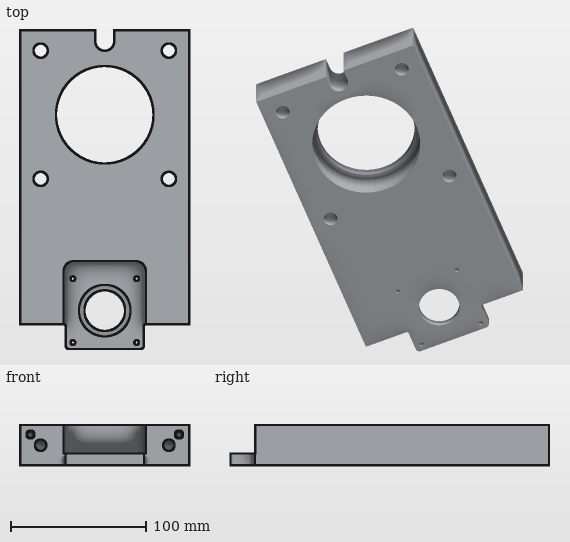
import cadquery as cq

block_width = 125.0
block_height = 30.0
total_length = 236.0
flange_reach = 18.5
block_length = total_length - flange_reach

flange_width = 58.0
flange_thickness = 9.0
flange_corner_radius = 2.8
pocket_width = 61.0
flange_root_radius = 1.2
pocket_length = 46.7
pocket_corner_radius = 7.5
flange_bore_y = 10.1
flange_bore_diameter = 30.0
seat_diameter = 38.2
seat_depth = 2.0
flange_hole_spacing = 47.2
flange_hole_diameter = 3.3

bore_y = block_length - block_width / 2
bore_diameter = 72.0
bore_lower_diameter = 80.0
bore_lip_height = 8.0
mounting_spacing = 94.9
mounting_diameter = 10.5

notch_width = 14.0
notch_depth = 15.0

dowel_diameter = 8.5
dowel_side_offset = 15.0
dowel_depth = 23.5
tapped_diameter = 5.0
tapped_mouth_diameter = 6.1
tapped_side_offset = 7.5
tapped_z = 23.0
tapped_depth = 14.2
drill_point_ratio = 0.3


def cylinder(x, y, diameter, bottom, top):
    """Vertical cylinder between two heights."""
    return cq.Workplane("XY", origin=(x, y, bottom)).circle(diameter / 2).extrude(top - bottom)


def square_of_holes(center_y, spacing, diameter):
    """Four vertical through cutters on the corners of a square."""
    return (
        cq.Workplane("XY", origin=(0, center_y, 0))
        .rect(spacing, spacing, forConstruction=True)
        .vertices()
        .circle(diameter / 2)
        .extrude(block_height)
    )


def front_drill(x, z, diameter, depth, mouth_diameter):
    """Blind drilling with a conical end and a 45 degree chamfered mouth."""
    radius = diameter / 2
    mouth_radius = mouth_diameter / 2
    profile = [
        (0, 0),
        (mouth_radius, 0),
        (radius, mouth_radius - radius),
        (radius, depth),
        (0, depth + diameter * drill_point_ratio),
    ]
    if mouth_diameter == diameter:
        profile.pop(1)
    return (
        cq.Workplane("XY")
        .polyline(profile)
        .close()
        .revolve(360, (0, 0, 0), (0, 1, 0))
        .translate((x, 0, z))
    )


def flange_root(side):
    """Concave round joining one flange side to the front face of the block."""
    flange_x = side * flange_width / 2
    center_x = flange_x + side * flange_root_radius
    web = cq.Workplane("XY").box(
        flange_root_radius, flange_root_radius, flange_thickness, centered=(True, False, False)
    )
    web = web.translate(((flange_x + center_x) / 2, -flange_root_radius, 0))
    return web.cut(cylinder(center_x, -flange_root_radius, 2 * flange_root_radius, 0, flange_thickness))


def block_with_flange():
    """Block with the pocket cut down to a flange that projects from its front."""
    block = cq.Workplane("XY").box(block_width, block_length, block_height, centered=(True, False, False))
    pocket = (
        cq.Workplane("XY", origin=(0, 0, flange_thickness))
        .box(pocket_width, pocket_length, block_height, centered=(True, False, False))
        .edges("|Z and >Y")
        .fillet(pocket_corner_radius)
    )
    flange = (
        cq.Workplane("XY", origin=(0, -flange_reach, 0))
        .box(flange_width, flange_reach + pocket_length, flange_thickness, centered=(True, False, False))
        .edges("|Z and <Y")
        .fillet(flange_corner_radius)
    )
    body = block.cut(pocket).union(flange)
    for side in (-1, 1):
        body = body.union(flange_root(side))
    return body


def notch():
    """Through notch with a half-round inner end."""
    end_y = block_length - notch_depth + notch_width / 2
    straight = cq.Workplane("XY", origin=(0, end_y, 0)).box(
        notch_width, block_length - end_y, block_height, centered=(True, False, False)
    )
    return straight.union(cylinder(0, end_y, notch_width, 0, block_height))


body = block_with_flange()

body = body.cut(cylinder(0, flange_bore_y, flange_bore_diameter, 0, flange_thickness))
body = body.cut(cylinder(0, flange_bore_y, seat_diameter, flange_thickness - seat_depth, flange_thickness))
body = body.cut(square_of_holes(flange_bore_y, flange_hole_spacing, flange_hole_diameter))

body = body.cut(cylinder(0, bore_y, bore_diameter, 0, block_height))
body = body.cut(cylinder(0, bore_y, bore_lower_diameter, 0, block_height - bore_lip_height))
body = body.cut(square_of_holes(bore_y, mounting_spacing, mounting_diameter))
body = body.cut(notch())

for side in (-1, 1):
    dowel_x = side * (block_width / 2 - dowel_side_offset)
    tapped_x = side * (block_width / 2 - tapped_side_offset)
    body = body.cut(front_drill(dowel_x, block_height / 2, dowel_diameter, dowel_depth, dowel_diameter))
    body = body.cut(front_drill(tapped_x, tapped_z, tapped_diameter, tapped_depth, tapped_mouth_diameter))

result = body